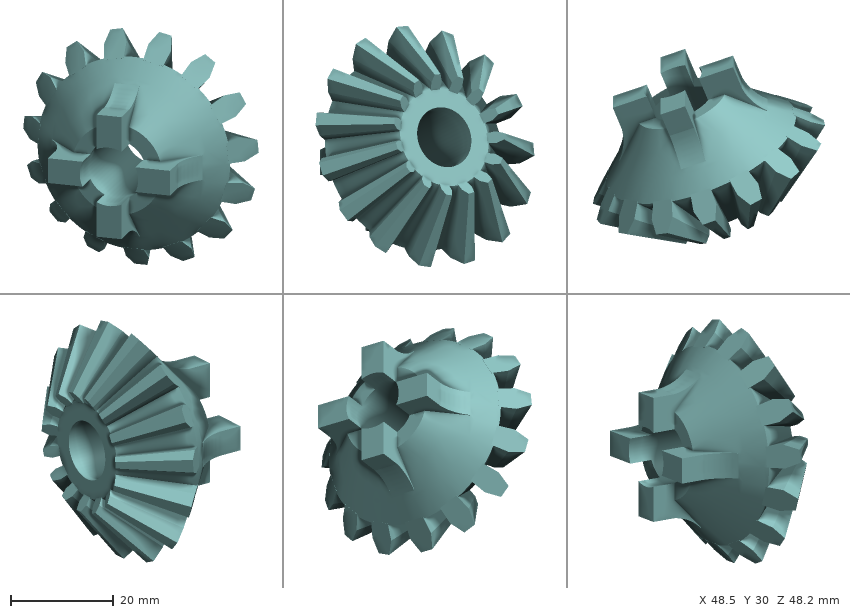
import cadquery as cq


bore_diameter = 12.0
hub_radius = 9.25
cone_depth = 10.55
body_depth = 23.0
apex_depth = 35.15
rim_radius = hub_radius + cone_depth
nose_radius = rim_radius * (apex_depth - body_depth) / (apex_depth - cone_depth)

tooth_count = 15
first_tooth_angle = -90.0
tooth_tip = (24.25, 1.3)
tooth_flank = (22.0, 2.38)
tooth_root = (19.5, 2.1)
gear_depth = 25.0

claw_count = 4
claw_length = 5.0
claw_width = 5.1
claw_outer_radius = 12.55
web_end_radius = 15.5
web_arc_radius = 10.45


def make_body():
    """Double cone: a 45 degree back cone and a root cone towards the apex."""
    profile = [
        (0, 0),
        (hub_radius, 0),
        (rim_radius, cone_depth),
        (nose_radius, body_depth),
        (0, body_depth),
    ]
    return cq.Workplane("XY").polyline(profile).close().revolve(360, (0, 0), (0, 1))


def back_cone_depth(radius):
    """Depth of the 45 degree back cone, continued outward, at this radius."""
    return radius - hub_radius


def shrink_toward_apex(radius, depth):
    """Shrink ratio of an edge that starts on the back cone at this radius and reaches this depth."""
    return (apex_depth - depth) / (apex_depth - back_cone_depth(radius))


def tooth_outline(corners):
    """Closed hexagon from (radius, depth, half width) corners, symmetric about the XY plane."""
    one_side = [cq.Vector(radius, depth, half) for radius, depth, half in corners]
    other_side = [cq.Vector(radius, depth, -half) for radius, depth, half in reversed(corners)]
    return cq.Wire.makePolygon(one_side + other_side, close=True)


def make_tooth():
    """Tooth along +X, tapering to the apex, between the back cone and a sloping small end."""
    large_end = []
    small_end = []
    tip_radius = tooth_tip[0] * shrink_toward_apex(tooth_tip[0], gear_depth)
    root_radius = tooth_root[0] * shrink_toward_apex(tooth_root[0], body_depth)
    end_slope = (gear_depth - body_depth) / (tip_radius - root_radius)
    apex_to_end = apex_depth - gear_depth + end_slope * tip_radius

    for radius, half_width in (tooth_tip, tooth_flank, tooth_root):
        start_depth = back_cone_depth(radius)
        large_end.append((radius, start_depth, half_width))
        ratio = apex_to_end / (apex_depth - start_depth + end_slope * radius)
        small_depth = apex_depth - ratio * (apex_depth - start_depth)
        small_end.append((ratio * radius, small_depth, ratio * half_width))

    return cq.Solid.makeLoft([tooth_outline(large_end), tooth_outline(small_end)], True)


def make_claw():
    """Claw along +X with a concave web that blends its outer side into the back cone."""
    web_end_depth = back_cone_depth(web_end_radius)
    return (
        cq.Workplane("XY")
        .workplane(offset=-claw_width / 2)
        .moveTo(0, -claw_length)
        .lineTo(claw_outer_radius, -claw_length)
        .lineTo(claw_outer_radius, 0)
        .radiusArc((web_end_radius, web_end_depth), web_arc_radius)
        .lineTo(0, web_end_depth)
        .close()
        .extrude(claw_width)
    )


def around_axis(shape, angle):
    """Turn a shape about Y, counting the angle from +X towards +Z."""
    return shape.rotate(cq.Vector(0, 0, 0), cq.Vector(0, 1, 0), -angle)


gear = make_body()

tooth = cq.Workplane(make_tooth())
for index in range(tooth_count):
    gear = gear.union(around_axis(tooth, first_tooth_angle + index * 360 / tooth_count))

claw = make_claw()
for index in range(claw_count):
    gear = gear.union(around_axis(claw, index * 360 / claw_count))

bore = (
    cq.Workplane("XZ", origin=(0, -claw_length, 0))
    .circle(bore_diameter / 2)
    .extrude(-(claw_length + body_depth))
)
result = gear.cut(bore)